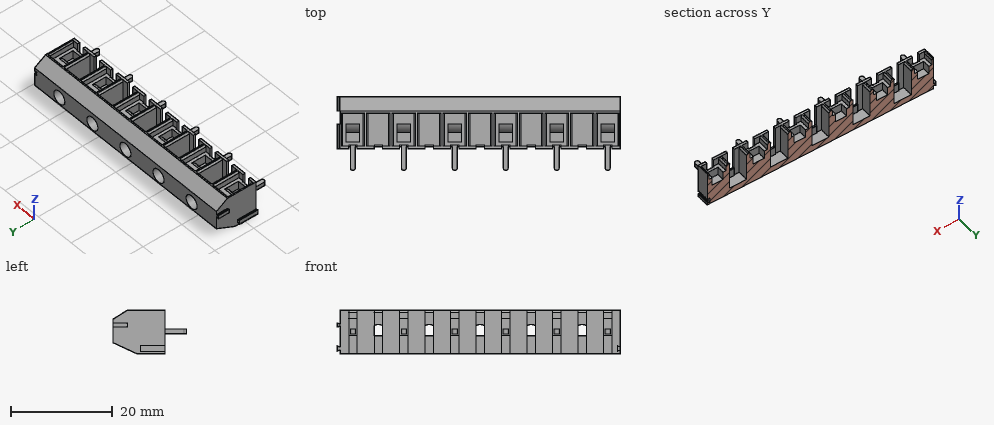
import cadquery as cq

overall_width = 55.6
overall_depth = 14.5
height = 8.6
cell_pitch = 5.0
cell_count = 11
housing_width = cell_pitch * cell_count
housing_depth = 10.25
rail_width = overall_width - housing_width

top_bevel_depth = 2.85
top_bevel_drop = 1.8
bottom_bevel_depth = 4.75
bottom_bevel_rise = 2.2

cell_width = 4.05
front_wall = 0.58
rear_wall = 3.37
cell_depth = housing_depth - front_wall - rear_wall
cell_back = front_wall + cell_depth
open_floor = 1.6
clamp_floor = 6.92
side_flare = 0.31
end_side_flare = 0.17
rear_flare = 0.15
flare_height = 0.45

slot_width = 1.6
slot_sill = 3.57
slot_depth = 0.74
groove_depth = 0.37

wire_hole_diameter = 3.3
wire_hole_height = 4.1

pin_size = 1.0
pin_height = 4.42
pin_length = overall_depth - housing_depth
pin_root = 1.0

pocket_width = 2.6
pocket_front = 1.35
pocket_back = 4.87
lobe_foot = 3.2
lobe_radius = 2.8
pocket_floor = pin_height + pin_size / 2

rail_neck_length = 0.2
upper_rail_height = 5.67
upper_rail_neck = 0.55
upper_rail_face = 0.86
upper_rail_length = 2.87
lower_rail_height = 1.07
lower_rail_neck = 0.7
lower_rail_face = 1.1
lower_rail_length = 4.85

overcut = 1.0


def box(x_min, x_max, y_min, y_max, z_min, z_max):
    size = (x_max - x_min, y_max - y_min, z_max - z_min)
    return cq.Workplane("XY").box(*size, centered=False).translate((x_min, y_min, z_min))


def centred_box(center_x, width, y_min, y_max, z_min, z_max):
    return box(center_x - width / 2, center_x + width / 2, y_min, y_max, z_min, z_max)


def make_housing():
    profile = [
        (0, 0),
        (housing_depth - bottom_bevel_depth, 0),
        (housing_depth, bottom_bevel_rise),
        (housing_depth, height - top_bevel_drop),
        (housing_depth - top_bevel_depth, height),
        (0, height),
    ]
    return cq.Workplane("YZ").polyline(profile).close().extrude(housing_width)


def make_cell(center_x, floor, left_flare, right_flare):
    """Space of one cell; its rim is flared on the left, right and rear."""
    left = center_x - cell_width / 2
    right = center_x + cell_width / 2
    flare_bottom = height - flare_height
    well = box(left, right, front_wall, cell_back, floor, height)
    flare = (
        cq.Workplane("XY", origin=(0, 0, flare_bottom))
        .moveTo(left, front_wall)
        .lineTo(right, front_wall)
        .lineTo(right, cell_back)
        .lineTo(left, cell_back)
        .close()
        .workplane(offset=flare_height)
        .moveTo(left - left_flare, front_wall)
        .lineTo(right + right_flare, front_wall)
        .lineTo(right + right_flare, cell_back + rear_flare)
        .lineTo(left - left_flare, cell_back + rear_flare)
        .close()
        .loft(ruled=True)
    )
    return well.union(flare)


def make_front_slot(center_x):
    """Opening through the front wall above the sill, and a shallow groove below it."""
    opening = centred_box(center_x, slot_width, 0, slot_depth, slot_sill, height)
    groove = centred_box(center_x, slot_width, 0, groove_depth, 0, slot_sill)
    return opening.union(groove)


def make_sill(center_x):
    """Thicker stretch of the front wall of an open cell, level with the bottom of its slot."""
    return centred_box(center_x, slot_width, groove_depth, slot_depth, open_floor, slot_sill)


def make_wire_hole(center_x):
    return (
        cq.Workplane("XZ", origin=(center_x, housing_depth + overcut, wire_hole_height))
        .circle(wire_hole_diameter / 2)
        .extrude(rear_wall + 2 * overcut)
    )


def make_clamp_pocket(center_x):
    return (
        cq.Workplane("YZ", origin=(center_x - pocket_width / 2, 0, 0))
        .moveTo(pocket_front, clamp_floor)
        .lineTo(pocket_front, pocket_floor)
        .lineTo(lobe_foot, pocket_floor)
        .radiusArc((pocket_back, clamp_floor), lobe_radius)
        .close()
        .extrude(pocket_width)
    )


def make_pin(center_x):
    """Square pin pointing forwards, its tip rounded to a half circle seen from above."""
    half = pin_size / 2
    tip_start = half - pin_length
    return (
        cq.Workplane("XY", origin=(center_x, 0, pin_height - half))
        .moveTo(-half, pin_root)
        .lineTo(-half, tip_start)
        .threePointArc((0, -pin_length), (half, tip_start))
        .lineTo(half, pin_root)
        .close()
        .extrude(pin_size)
    )


def make_dovetail(end_x, center_z, neck, face, y_min, length):
    """Bar standing on the plane x = end_x: a straight neck that then widens towards -X."""
    neck_x = end_x - rail_neck_length
    face_x = end_x - rail_width
    profile = [
        (end_x, center_z - neck / 2),
        (neck_x, center_z - neck / 2),
        (face_x, center_z - face / 2),
        (face_x, center_z + face / 2),
        (neck_x, center_z + neck / 2),
        (end_x, center_z + neck / 2),
    ]
    return (
        cq.Workplane("XZ", origin=(0, y_min + length, 0))
        .polyline(profile)
        .close()
        .extrude(length)
    )


def make_upper_dovetail(end_x):
    y_min = housing_depth - upper_rail_length
    return make_dovetail(
        end_x, upper_rail_height, upper_rail_neck, upper_rail_face, y_min, upper_rail_length
    )


def make_lower_dovetail(end_x):
    return make_dovetail(
        end_x, lower_rail_height, lower_rail_neck, lower_rail_face, 0, lower_rail_length
    )


result = make_housing()

for index in range(cell_count):
    cell_x = (index + 0.5) * cell_pitch
    is_clamp = index % 2 == 0
    left_flare = end_side_flare if index == 0 else side_flare
    right_flare = end_side_flare if index == cell_count - 1 else side_flare
    cell_floor = clamp_floor if is_clamp else open_floor
    result = result.cut(make_cell(cell_x, cell_floor, left_flare, right_flare))
    result = result.cut(make_front_slot(cell_x))
    if is_clamp:
        result = result.cut(make_clamp_pocket(cell_x))
        result = result.union(make_pin(cell_x))
    else:
        result = result.union(make_sill(cell_x))
        result = result.cut(make_wire_hole(cell_x))

result = result.union(make_upper_dovetail(0)).union(make_lower_dovetail(0))
result = result.cut(make_upper_dovetail(housing_width)).cut(make_lower_dovetail(housing_width))